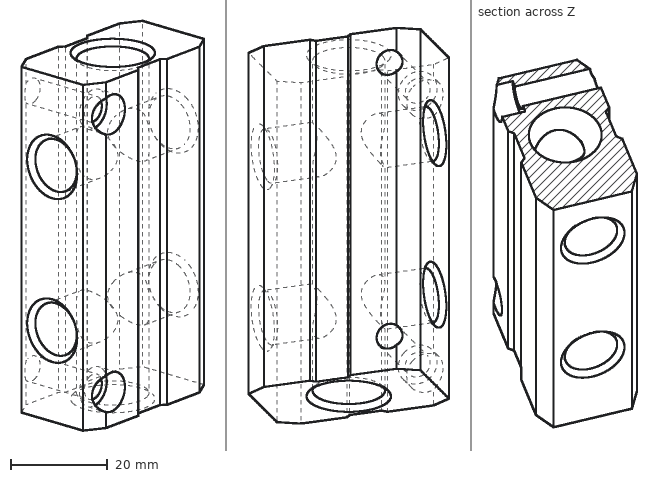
import cadquery as cq
import math

width = 22.0
depth = 38.0
height = 76.0
corner_x = 2.5
corner_angle = 60.0
corner_y = corner_x * math.tan(math.radians(corner_angle))

groove_mouth = 9.0
groove_floor = 7.0
groove_depth = 1.0

bore_diameter = 15.0
bore_chamfer = 1.25

port_diameter = 11.4
port_chamfer = 1.2
port_spacing = 36.0

mount_diameter = 5.5
mount_spacing = 61.0
mount_y = -13.0
counterbore_diameter = 8.6
counterbore_depth = 5.0

half_width = width / 2
half_depth = depth / 2
half_height = height / 2


def make_block():
    """Beveled, grooved outline extruded along Z and centered on the origin."""
    floor_x = half_width - groove_depth
    right_side = [
        (half_width - corner_x, -half_depth),
        (half_width, -half_depth + corner_y),
        (half_width, -groove_mouth / 2),
        (floor_x, -groove_floor / 2),
        (floor_x, groove_floor / 2),
        (half_width, groove_mouth / 2),
        (half_width, half_depth - corner_y),
        (half_width - corner_x, half_depth),
    ]
    left_side = [(-x, y) for x, y in reversed(right_side)]
    outline = cq.Workplane("XY").polyline(right_side + left_side).close()
    return outline.extrude(half_height, both=True)


def chamfered_bore(diameter, length, chamfer):
    """Cutter along Z, flared at 45 degrees at both ends of its length."""
    radius = diameter / 2
    mouth_radius = radius + chamfer
    half_length = length / 2
    profile = [
        (0, -half_length),
        (mouth_radius, -half_length),
        (radius, -half_length + chamfer),
        (radius, half_length - chamfer),
        (mouth_radius, half_length),
        (0, half_length),
    ]
    return cq.Workplane("XZ").polyline(profile).close().revolve(360, (0, 0), (0, 1))


def mount_hole():
    """Cutter along X: through hole with a counterbore open on the +X side."""
    shank = cq.Workplane("YZ").circle(mount_diameter / 2).extrude(half_width, both=True)
    head = (
        cq.Workplane("YZ", origin=(half_width - counterbore_depth, 0, 0))
        .circle(counterbore_diameter / 2)
        .extrude(counterbore_depth)
    )
    return shank.union(head)


result = make_block().cut(chamfered_bore(bore_diameter, height, bore_chamfer))

port = chamfered_bore(port_diameter, depth, port_chamfer).rotate((0, 0, 0), (1, 0, 0), 90)
mount = mount_hole()
for side in (-1, 1):
    result = result.cut(port.translate((0, 0, side * port_spacing / 2)))
    result = result.cut(mount.translate((0, mount_y, side * mount_spacing / 2)))